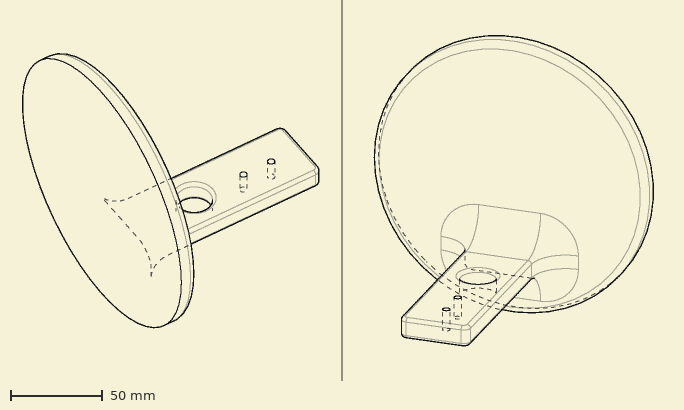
import cadquery as cq

plate_diameter = 160.0
hole_diameter = 4.0
plate_edge_round = 4.0
plate_thickness = 2.5 * plate_edge_round

arm_length = 120.0
arm_width = 40.0
arm_thickness = 12.0
arm_center_z = -44.0
arm_tip_round = 4.0
arm_edge_round = arm_tip_round / 2
root_fillet = arm_width / 2
arm_tip_y = plate_thickness + arm_length

bore_diameter = 20.0
bore_rim_round = bore_diameter / 10
bore_y = arm_length / 2
small_hole_setback = arm_width / 2
small_hole_spacing = 0.15 * arm_length


def make_plate():
    disc = cq.Workplane("XZ").circle(plate_diameter / 2).extrude(-plate_thickness)
    return disc.faces(">Y").edges().fillet(plate_edge_round)


def make_arm():
    """Rounded bar that starts inside the plate, so the front face stays plain."""
    start_y = plate_thickness / 2
    arm = (
        cq.Workplane("XY", origin=(0, start_y, arm_center_z))
        .box(arm_width, arm_tip_y - start_y, arm_thickness, centered=(True, False, True))
    )
    arm = arm.edges("|Z and >Y").fillet(arm_tip_round)
    return arm.faces(">Z or <Z").edges("not <Y").fillet(arm_edge_round)


def fillet_root(body):
    """Blend the arm into the plate all around its root."""
    margin = 0.2
    half_x = arm_width / 2 + margin
    half_z = arm_thickness / 2 + margin
    root_edges = cq.selectors.BoxSelector(
        (-half_x, plate_thickness - margin, arm_center_z - half_z),
        (half_x, plate_thickness + margin, arm_center_z + half_z),
        boundingbox=True,
    )
    return body.edges(root_edges).fillet(root_fillet)


def vertical_cutter(diameter, y):
    return (
        cq.Workplane("XY", origin=(0, y, arm_center_z))
        .circle(diameter / 2)
        .extrude(arm_thickness, both=True)
    )


def cut_bore(body):
    """Cut the large bore and round its rim on both faces of the arm."""
    body = body.cut(vertical_cutter(bore_diameter, bore_y))
    around_bore = cq.selectors.BoxSelector(
        (-bore_diameter, bore_y - bore_diameter, arm_center_z - arm_thickness),
        (bore_diameter, bore_y + bore_diameter, arm_center_z + arm_thickness),
        boundingbox=True,
    )
    return body.edges(around_bore).edges("%CIRCLE").fillet(bore_rim_round)


result = fillet_root(make_plate().union(make_arm()))
result = cut_bore(result)
outer_hole_y = arm_tip_y - small_hole_setback
for hole_y in (outer_hole_y, outer_hole_y - small_hole_spacing):
    result = result.cut(vertical_cutter(hole_diameter, hole_y))